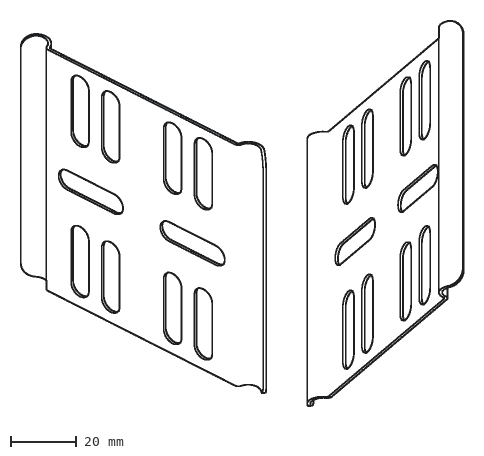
import cadquery as cq
import math

width = 99.4
height = 90.0
thickness = 1.0
depth = 5.0

crest_x = 43.1
crest_inner_radius = 4.0
crest_outer_radius = crest_inner_radius + thickness
bend_inner_radius = 0.6
bend_outer_radius = bend_inner_radius + thickness
lip_angle = 41.0
lip_corner_radius = 5.0

slot_width = 7.2
slot_length = 26.0
upright_slot_xs = (12.5, 24.9)
upright_slot_z = 28.0
level_slot_x = 20.6

crest_center_y = depth - crest_outer_radius
center_distance = crest_inner_radius + bend_outer_radius
bend_angle = math.acos((bend_outer_radius - crest_center_y) / center_distance)
bend_x = crest_x - center_distance * math.sin(bend_angle)
lip_slope = math.radians(lip_angle)
lip_tip_x = width / 2
lip_length = (lip_tip_x - crest_x - crest_outer_radius * math.sin(lip_slope)) / math.cos(lip_slope)


def crest_point(radius, angle):
    """Point on a crest arc, angle measured from its peak toward the lip."""
    return (crest_x + radius * math.sin(angle), crest_center_y + radius * math.cos(angle))


def bend_point(radius, angle):
    """Point on a bend arc, angle measured from its lowest point toward the crest."""
    return (bend_x + radius * math.sin(angle), bend_outer_radius - radius * math.cos(angle))


def lip_end(radius):
    """End of the lip face that continues a crest arc of the given radius."""
    start_x, start_y = crest_point(radius, lip_slope)
    return (start_x + lip_length * math.cos(lip_slope), start_y - lip_length * math.sin(lip_slope))


def make_half_sheet():
    """Right half of the bent sheet, extruded along Z about mid-height."""
    mid_crest = (lip_slope - bend_angle) / 2
    mid_bend = bend_angle / 2
    return (
        cq.Workplane("XY", origin=(0, 0, -height / 2))
        .moveTo(0, 0)
        .lineTo(bend_x, 0)
        .threePointArc(bend_point(bend_outer_radius, mid_bend), bend_point(bend_outer_radius, bend_angle))
        .threePointArc(crest_point(crest_inner_radius, mid_crest), crest_point(crest_inner_radius, lip_slope))
        .lineTo(*lip_end(crest_inner_radius))
        .lineTo(*lip_end(crest_outer_radius))
        .lineTo(*crest_point(crest_outer_radius, lip_slope))
        .threePointArc(
            crest_point(crest_outer_radius, mid_crest),
            crest_point(crest_outer_radius, -bend_angle),
        )
        .threePointArc(bend_point(bend_inner_radius, mid_bend), bend_point(bend_inner_radius, 0))
        .lineTo(0, thickness)
        .close()
        .extrude(height)
    )


def round_lip_corners(sheet):
    """Round the two lip corners square to the sloping lip."""
    tip_x, tip_y = lip_end(crest_outer_radius)
    lip_plane = cq.Plane(
        origin=(tip_x, tip_y, 0),
        xDir=(math.cos(lip_slope), -math.sin(lip_slope), 0),
        normal=(math.sin(lip_slope), math.cos(lip_slope), 0),
    )
    diagonal = lip_corner_radius * (1 - math.sqrt(0.5))
    for side in (-1, 1):
        corner_z = side * height / 2
        cutter = (
            cq.Workplane(lip_plane)
            .moveTo(0, corner_z)
            .lineTo(-lip_corner_radius, corner_z)
            .threePointArc((-diagonal, corner_z - side * diagonal), (0, corner_z - side * lip_corner_radius))
            .close()
            .extrude(2 * thickness, both=True)
        )
        sheet = sheet.cut(cutter)
    return sheet


def make_slots(centers, angle):
    """Slot cutters through the flat plate; angle 0 lies along X, 90 along Z."""
    return (
        cq.Workplane("XZ")
        .pushPoints(centers)
        .slot2D(slot_length, slot_width, angle)
        .extrude(2 * thickness, both=True)
    )


half_sheet = round_lip_corners(make_half_sheet())
sheet = half_sheet.union(half_sheet.mirror("YZ")).clean()

upright_centers = [
    (side * x, level * upright_slot_z)
    for side in (-1, 1)
    for x in upright_slot_xs
    for level in (-1, 1)
]
level_centers = [(side * level_slot_x, 0) for side in (-1, 1)]

result = sheet.cut(make_slots(upright_centers, 90)).cut(make_slots(level_centers, 0))